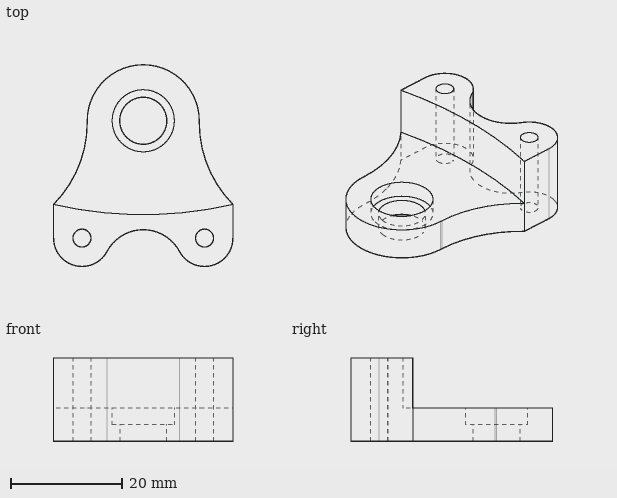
import cadquery as cq
import math

total_length = 36.23
width = 32.2
total_height = 15.0
plate_height = 6.0
eye_radius = 10.07
eye_flat_length = 0.33
bore_radius = 4.2
counterbore_radius = 5.58
counterbore_depth = 3.0
lobe_radius = 5.1
mount_hole_radius = 1.6
shoulder_y = -15.0
step_middle_y = -16.85
saddle_top_y = -19.55

half_width = width / 2
lobe_x = half_width - lobe_radius
lobe_y = eye_radius - total_length + lobe_radius

lobe_drop = saddle_top_y - lobe_y
saddle_radius = (lobe_x**2 + lobe_drop**2 - lobe_radius**2) / (2 * (lobe_radius + lobe_drop))
saddle_y = saddle_top_y - saddle_radius
saddle_share = saddle_radius / (saddle_radius + lobe_radius)
tangent_x = saddle_share * lobe_x
tangent_y = saddle_y + saddle_share * (lobe_y - saddle_y)

flare = half_width - eye_radius
flank_start_y = -eye_flat_length
flank_drop = flank_start_y - shoulder_y
flank_radius = (flare**2 + flank_drop**2) / (2 * flare)
flank_half_angle = math.asin(flank_drop / flank_radius) / 2
flank_mid_x = eye_radius + flank_radius * (1 - math.cos(flank_half_angle))
flank_mid_y = flank_start_y - flank_radius * math.sin(flank_half_angle)


def make_plate():
    """Low plate: round eye, flared flanks and curved edge along the block."""
    return (
        cq.Workplane("XY")
        .moveTo(-eye_radius, 0)
        .threePointArc((0, eye_radius), (eye_radius, 0))
        .lineTo(eye_radius, flank_start_y)
        .threePointArc((flank_mid_x, flank_mid_y), (half_width, shoulder_y))
        .threePointArc((0, step_middle_y), (-half_width, shoulder_y))
        .threePointArc((-flank_mid_x, flank_mid_y), (-eye_radius, flank_start_y))
        .close()
        .extrude(plate_height)
    )


def make_block():
    """Tall block: curved step, straight sides, two lobes and the saddle."""
    end_angle = math.atan2(tangent_y - lobe_y, tangent_x - lobe_x)
    lobe_mid_angle = end_angle / 2
    lobe_mid_x = lobe_x + lobe_radius * math.cos(lobe_mid_angle)
    lobe_mid_y = lobe_y + lobe_radius * math.sin(lobe_mid_angle)
    return (
        cq.Workplane("XY")
        .moveTo(-half_width, shoulder_y)
        .threePointArc((0, step_middle_y), (half_width, shoulder_y))
        .lineTo(half_width, lobe_y)
        .threePointArc((lobe_mid_x, lobe_mid_y), (tangent_x, tangent_y))
        .threePointArc((0, saddle_top_y), (-tangent_x, tangent_y))
        .threePointArc((-lobe_mid_x, lobe_mid_y), (-half_width, lobe_y))
        .close()
        .extrude(total_height)
    )


def make_holes():
    """Counterbored eye bore and the two mounting holes, as cutting solids."""
    bore = cq.Workplane("XY").circle(bore_radius).extrude(plate_height)
    counterbore = (
        cq.Workplane("XY")
        .workplane(offset=plate_height - counterbore_depth)
        .circle(counterbore_radius)
        .extrude(counterbore_depth)
    )
    mount_holes = (
        cq.Workplane("XY")
        .pushPoints([(-lobe_x, lobe_y), (lobe_x, lobe_y)])
        .circle(mount_hole_radius)
        .extrude(total_height)
    )
    return bore.union(counterbore).union(mount_holes)


result = make_plate().union(make_block()).cut(make_holes())